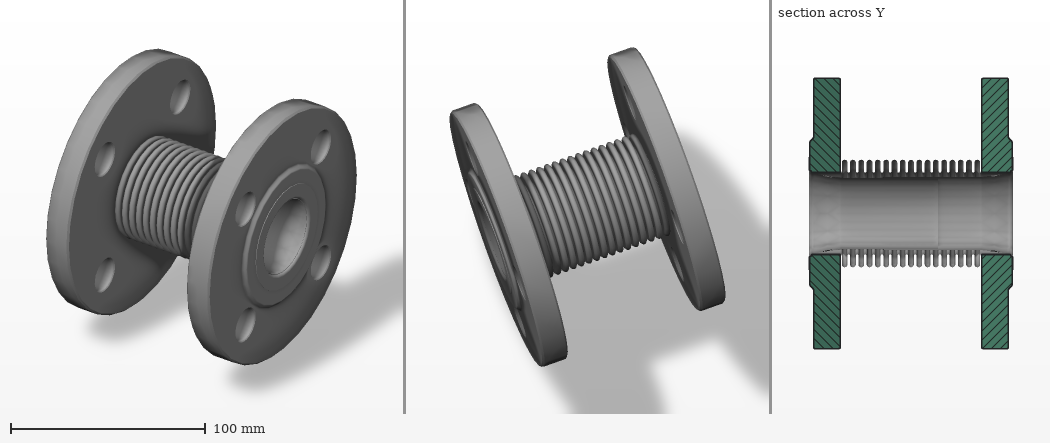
import cadquery as cq

TOTAL_LENGTH = 105.0
WALL = 0.3
HALF_LENGTH = TOTAL_LENGTH / 2
RAISED_FACE_X = HALF_LENGTH - WALL

FLANGE_DIAMETER = 140.0
FLANGE_THICKNESS = 14.0
FLANGE_CHAMFER = 1.0
RAISED_FACE_HEIGHT = 2.0
RAISED_FACE_DIAMETER = 78.0
RAISED_FACE_FILLET = 1.0
BOLT_HOLE_DIAMETER = 18.0
BOLT_HOLE_CHAMFER = 0.49
BOLT_CIRCLE_DIAMETER = 100.0
BOLT_COUNT = 4
FLANGE_OUTER_X = RAISED_FACE_X - RAISED_FACE_HEIGHT
FLANGE_INNER_X = FLANGE_OUTER_X - FLANGE_THICKNESS

COLLAR_DIAMETER = 42.4
LIP_DIAMETER = 58.0
LIP_BACK_BEND = 1.0
LIP_BORE_BEND = LIP_BACK_BEND + WALL
CREST_DIAMETER = 55.7
CREST_COUNT = 17
CREST_WIDTH = 3.0
PITCH = 2 * FLANGE_INNER_X / CREST_COUNT
COLLAR_RADIUS = COLLAR_DIAMETER / 2
COLLAR_BORE_RADIUS = COLLAR_RADIUS - WALL

LINER_MOUTH_DIAMETER = 41.5
LINER_MOUTH_LENGTH = 1.5
SLIM_LINER_BORE = 36.0
WIDE_LINER_BORE = 37.2
LINER_OVERLAP = 28.0
LINER_MOUTH_X = HALF_LENGTH - LIP_BORE_BEND
TAPER_START_X = LINER_MOUTH_X - LINER_MOUTH_LENGTH
TAPER_END_X = FLANGE_INNER_X

TOLERANCE = 0.01


def revolve_about_x(profile):
    """Revolve a profile drawn as (x, radius) about the X axis."""
    return profile.close().revolve(360, (0, 0, 0), (1, 0, 0))


def circles_of_radius(body, radius):
    """Select the circular edges of the given radius."""
    return body.edges("%CIRCLE").filter(lambda edge: abs(edge.radius() - radius) < TOLERANCE)


def make_flange():
    """Flange at the +X end, with a sloped raised face and a bore rounded to seat the bellows lip."""
    rim = FLANGE_DIAMETER / 2
    face = RAISED_FACE_DIAMETER / 2
    body = revolve_about_x(
        cq.Workplane("XY")
        .moveTo(FLANGE_INNER_X, COLLAR_RADIUS)
        .lineTo(FLANGE_INNER_X, rim - FLANGE_CHAMFER)
        .lineTo(FLANGE_INNER_X + FLANGE_CHAMFER, rim)
        .lineTo(FLANGE_OUTER_X - FLANGE_CHAMFER, rim)
        .lineTo(FLANGE_OUTER_X, rim - FLANGE_CHAMFER)
        .lineTo(FLANGE_OUTER_X, face)
        .lineTo(RAISED_FACE_X, face - RAISED_FACE_HEIGHT)
        .lineTo(RAISED_FACE_X, COLLAR_RADIUS + LIP_BACK_BEND)
        .radiusArc((RAISED_FACE_X - LIP_BACK_BEND, COLLAR_RADIUS), -LIP_BACK_BEND)
    )
    for radius in (face, face - RAISED_FACE_HEIGHT):
        body = circles_of_radius(body, radius).fillet(RAISED_FACE_FILLET)
    bolt_holes = (
        cq.Workplane("YZ", origin=(FLANGE_INNER_X, 0, 0))
        .polarArray(BOLT_CIRCLE_DIAMETER / 2, 180 / BOLT_COUNT, 360, BOLT_COUNT)
        .circle(BOLT_HOLE_DIAMETER / 2)
        .extrude(FLANGE_THICKNESS + RAISED_FACE_HEIGHT)
    )
    flange = body.cut(bolt_holes)
    return circles_of_radius(flange, BOLT_HOLE_DIAMETER / 2).chamfer(BOLT_HOLE_CHAMFER)


def trace_waves(profile, direction, tube_radius, crest_radius, root_bend, crest_bend):
    """Trace the U-shaped waves of one side of the sheet, toward +X (1) or -X (-1)."""
    for index in range(CREST_COUNT):
        crest_x = direction * (index - (CREST_COUNT - 1) / 2) * PITCH
        rise_x = crest_x - direction * crest_bend
        fall_x = crest_x + direction * crest_bend
        root_x = crest_x + direction * PITCH / 2
        profile = (
            profile.radiusArc((rise_x, tube_radius + root_bend), -direction * root_bend)
            .lineTo(rise_x, crest_radius - crest_bend)
            .radiusArc((crest_x, crest_radius), direction * crest_bend)
            .radiusArc((fall_x, crest_radius - crest_bend), direction * crest_bend)
            .lineTo(fall_x, tube_radius + root_bend)
            .radiusArc((root_x, tube_radius), -direction * root_bend)
        )
    return profile


def make_bellows():
    """Thin corrugated tube with a plain collar and a turned-out lip at each end."""
    lip = LIP_DIAMETER / 2
    bend_x = HALF_LENGTH - LIP_BORE_BEND
    bend_radius = COLLAR_RADIUS + LIP_BACK_BEND
    crest_radius = CREST_DIAMETER / 2
    crest_bend = CREST_WIDTH / 2
    root_bend = (PITCH - CREST_WIDTH) / 2

    profile = (
        cq.Workplane("XY")
        .moveTo(-HALF_LENGTH, lip)
        .lineTo(-RAISED_FACE_X, lip)
        .lineTo(-RAISED_FACE_X, bend_radius)
        .radiusArc((-bend_x, COLLAR_RADIUS), -LIP_BACK_BEND)
        .lineTo(-FLANGE_INNER_X, COLLAR_RADIUS)
    )
    profile = trace_waves(profile, 1, COLLAR_RADIUS, crest_radius, root_bend, crest_bend)
    profile = (
        profile.lineTo(bend_x, COLLAR_RADIUS)
        .radiusArc((RAISED_FACE_X, bend_radius), -LIP_BACK_BEND)
        .lineTo(RAISED_FACE_X, lip)
        .lineTo(HALF_LENGTH, lip)
    )

    profile = (
        profile.lineTo(HALF_LENGTH, bend_radius)
        .radiusArc((bend_x, COLLAR_BORE_RADIUS), LIP_BORE_BEND)
        .lineTo(FLANGE_INNER_X, COLLAR_BORE_RADIUS)
    )
    profile = trace_waves(
        profile, -1, COLLAR_BORE_RADIUS, crest_radius - WALL, root_bend + WALL, crest_bend - WALL
    )
    profile = profile.lineTo(-bend_x, COLLAR_BORE_RADIUS).radiusArc(
        (-HALF_LENGTH, bend_radius), LIP_BORE_BEND
    )
    return revolve_about_x(profile)


def make_liner(bore_diameter):
    """Sleeve at the +X end: a wide mouth, an S-shaped taper and a straight bore."""
    mouth = LINER_MOUTH_DIAMETER / 2
    tube = bore_diameter / 2 + WALL
    tip_x = -LINER_OVERLAP / 2
    inward = (-1, 0)
    outward = (1, 0)
    profile = (
        cq.Workplane("XY")
        .moveTo(tip_x, tube)
        .lineTo(TAPER_END_X, tube)
        .spline([(TAPER_START_X, mouth)], tangents=[outward, outward], includeCurrent=True)
        .lineTo(LINER_MOUTH_X, mouth)
        .lineTo(LINER_MOUTH_X, mouth - WALL)
        .lineTo(TAPER_START_X, mouth - WALL)
        .spline([(TAPER_END_X, tube - WALL)], tangents=[inward, inward], includeCurrent=True)
        .lineTo(tip_x, tube - WALL)
    )
    return revolve_about_x(profile)


flanges = [make_flange().rotate((0, 0, 0), (0, 0, 1), turn) for turn in (0, 180)]
bellows = make_bellows()
slim_liner = make_liner(SLIM_LINER_BORE).mirror("YZ")
wide_liner = make_liner(WIDE_LINER_BORE)

result = cq.Compound.makeCompound(
    [
        *[flange.val() for flange in flanges],
        bellows.val(),
        slim_liner.val(),
        wide_liner.val(),
    ]
)